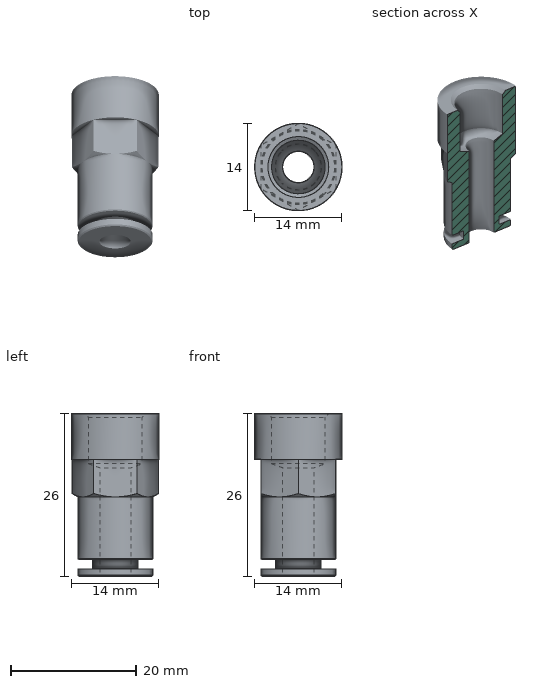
import cadquery as cq
import math

total_height = 26.0
flange_height = 1.2
neck_height = 1.5
sleeve_height = 10.0
hex_height = 6.0

collar_diameter = 14.0
sleeve_diameter = 12.0
flange_diameter = 12.0
neck_diameter = 7.3
hex_across_flats = 12.0
hex_sides = 6

sleeve_chamfer = 0.15
flange_chamfer = 0.2
neck_foot_chamfer = 0.05
hex_chamfer_angle = 30.0

through_hole_diameter = 5.0
bore_diameter = 8.57
bore_mouth_diameter = 9.73
bore_depth = 8.0
bore_mouth_angle = 45.0
bore_floor_angle = 20.0

neck_bottom = flange_height
sleeve_bottom = neck_bottom + neck_height
hex_bottom = sleeve_bottom + sleeve_height
collar_bottom = hex_bottom + hex_height


def cone_height(large_diameter, small_diameter, slope_angle):
    """Axial length of a cone whose wall rises at slope_angle from the horizontal."""
    return (large_diameter - small_diameter) / 2 * math.tan(math.radians(slope_angle))


def cylinder(diameter, bottom, top):
    return cq.Workplane("XY").workplane(offset=bottom).circle(diameter / 2).extrude(top - bottom)


def cone(bottom_diameter, top_diameter, bottom, height):
    return cq.Workplane(
        cq.Solid.makeCone(bottom_diameter / 2, top_diameter / 2, height, pnt=cq.Vector(0, 0, bottom))
    )


def make_flange():
    return cylinder(flange_diameter, 0, flange_height).faces("<Z").chamfer(flange_chamfer)


def make_neck():
    """Plain neck with a small 45 degree flare where it meets the flange."""
    foot_diameter = neck_diameter + 2 * neck_foot_chamfer
    foot = cone(foot_diameter, neck_diameter, neck_bottom, neck_foot_chamfer)
    return cylinder(neck_diameter, neck_bottom, sleeve_bottom).union(foot)


def make_sleeve():
    sleeve = cylinder(sleeve_diameter, sleeve_bottom, hex_bottom)
    return sleeve.faces("<Z").chamfer(sleeve_chamfer)


def make_hex():
    """Hexagon with two flats facing +X and -X, its lower corners cut back by a cone."""
    half_sector_angle = math.pi / hex_sides
    across_corners = hex_across_flats / math.cos(half_sector_angle)
    prism = (
        cq.Workplane("XY")
        .workplane(offset=hex_bottom)
        .transformed(rotate=(0, 0, 90))
        .polygon(hex_sides, across_corners)
        .extrude(hex_height)
    )
    chamfer_height = cone_height(collar_diameter, hex_across_flats, hex_chamfer_angle)
    envelope = cone(hex_across_flats, collar_diameter, hex_bottom, chamfer_height).union(
        cylinder(collar_diameter, hex_bottom + chamfer_height, collar_bottom)
    )
    return prism.intersect(envelope)


def make_passage():
    """Stepped bore open at the top, with a conical floor leading to the through hole."""
    bore_bottom = total_height - bore_depth
    floor_height = cone_height(bore_diameter, through_hole_diameter, bore_floor_angle)
    mouth_height = cone_height(bore_mouth_diameter, bore_diameter, bore_mouth_angle)
    return (
        cylinder(through_hole_diameter, 0, total_height)
        .union(cone(through_hole_diameter, bore_diameter, bore_bottom - floor_height, floor_height))
        .union(cylinder(bore_diameter, bore_bottom, total_height))
        .union(cone(bore_diameter, bore_mouth_diameter, total_height - mouth_height, mouth_height))
    )


body = (
    make_flange()
    .union(make_neck())
    .union(make_sleeve())
    .union(make_hex())
    .union(cylinder(collar_diameter, collar_bottom, total_height))
)

result = body.cut(make_passage())